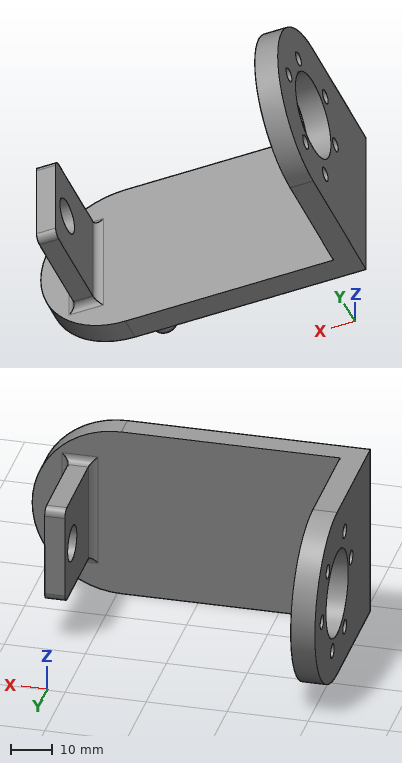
import cadquery as cq
import math

length = 82.0
height = 44.0
leg_reach = 54.85
plate = 6.0
end_radius = height / 2
round_center_x = length - end_radius
round_center_y = leg_reach - end_radius

bore_diameter = 22.0
small_hole_diameter = 3.5
hole_rings = [(15.0, 60.0), (14.0, 10.5)]
holes_per_ring = 3

stud_radius = 3.0
stud_length = 20.0
stud_flare = 10.0
stud_tip_round = 1.0

tab_start_x = 67.65
tab_thickness = 5.0
tab_reach = 31.0
tab_height = 25.0
tab_round = 2.0
tab_hole_diameter = 9.0
tab_hole_y = 23.8


def rounded_plate(workplane, straight):
    """Plate with a square start at the origin and a half-round far end."""
    return (
        workplane.moveTo(0, -end_radius)
        .lineTo(straight, -end_radius)
        .threePointArc((straight + end_radius, 0), (straight, end_radius))
        .lineTo(0, end_radius)
        .close()
        .extrude(plate)
    )


def x_hole(diameter, y, z, start_x, depth):
    """Cylinder along X for cutting a hole."""
    return cq.Workplane("YZ", origin=(start_x, y, z)).circle(diameter / 2).extrude(depth)


def make_leg():
    leg = rounded_plate(cq.Workplane("YZ"), round_center_y)
    leg = leg.cut(x_hole(bore_diameter, round_center_y, 0, 0, plate))
    for radius, first_angle in hole_rings:
        for index in range(holes_per_ring):
            angle = math.radians(first_angle + index * 360 / holes_per_ring)
            y = round_center_y - radius * math.cos(angle)
            z = radius * math.sin(angle)
            leg = leg.cut(x_hole(small_hole_diameter, y, z, 0, plate))
    return leg


def make_stud():
    """Revolve the stud, with its concave flare, about its axis along Y."""
    mid_arc = math.sqrt(0.5)
    flare_radius = stud_radius + stud_flare
    tip_center_x = stud_radius - stud_tip_round
    tip_center_y = -stud_length + stud_tip_round
    tip_mid = (tip_center_x + stud_tip_round * mid_arc, tip_center_y - stud_tip_round * mid_arc)
    flare_mid = (flare_radius - stud_flare * mid_arc, -stud_flare * (1 - mid_arc))
    return (
        cq.Workplane("XY", origin=(round_center_x, 0, 0))
        .moveTo(0, plate)
        .lineTo(0, -stud_length)
        .lineTo(tip_center_x, -stud_length)
        .threePointArc(tip_mid, (stud_radius, tip_center_y))
        .lineTo(stud_radius, -stud_flare)
        .threePointArc(flare_mid, (flare_radius, 0))
        .lineTo(flare_radius, plate)
        .close()
        .revolve(360, (0, 0, 0), (0, 1, 0))
    )


def add_tab(body):
    """Join the tab with a fillet all round its root, then pierce it."""
    tab_depth = tab_reach - plate
    tab = (
        cq.Workplane("XY")
        .box(tab_thickness, tab_depth, tab_height, centered=(False, False, True))
        .translate((tab_start_x, plate, 0))
        .edges("|X and >Y")
        .fillet(tab_round)
    )
    margin = 0.1
    root_zone = cq.selectors.BoxSelector(
        (tab_start_x - margin, plate - margin, -tab_height / 2 - margin),
        (tab_start_x + tab_thickness + margin, plate + margin, tab_height / 2 + margin),
    )
    body = body.union(tab).edges(root_zone).fillet(tab_round)
    return body.cut(x_hole(tab_hole_diameter, tab_hole_y, 0, tab_start_x, tab_thickness))


long_plate = rounded_plate(cq.Workplane("XZ", origin=(0, plate, 0)), round_center_x)
bracket = long_plate.union(make_leg())
result = add_tab(bracket).union(make_stud())